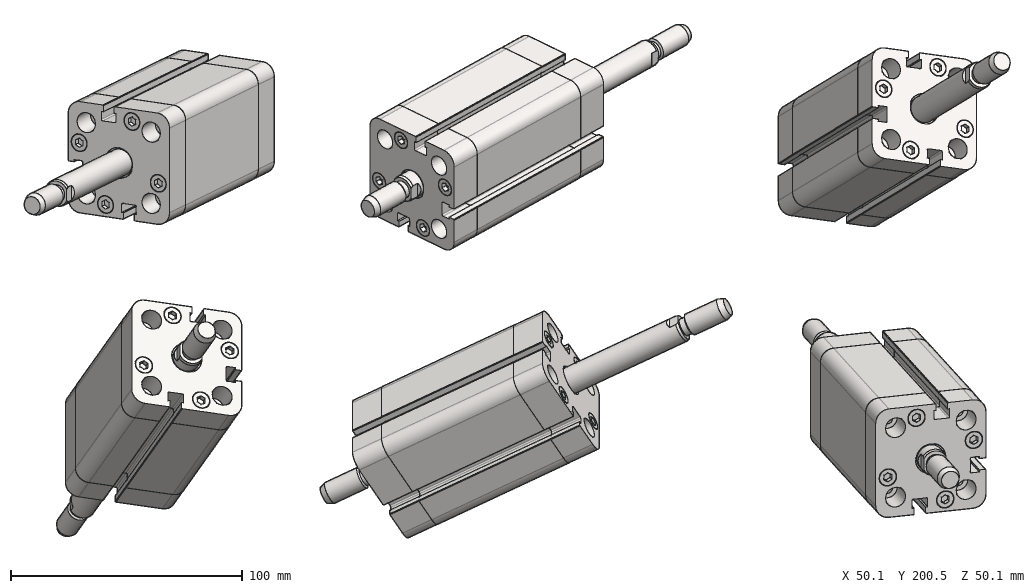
import cadquery as cq
import math


barrel_width = 50.1
cap_width = 50.0
corner_radius = 6.0
body_length = 94.5
cap_length = 14.5
barrel_length = body_length - 2 * cap_length
body_half = body_length / 2

slot_offset = 5.0
slot_neck_width = 5.2
slot_neck_depth = 3.0
slot_width = 7.1
slot_depth = 7.2
slot_mouth_chamfer = 0.3
slot_floor_radius = 0.6
barrel_slot_reduction = 0.1
slot_angles = (0, 90, 180)

mount_pitch = 32.0
mount_diameter = 4.92
mount_bore_diameter = 9.0
mount_bore_depth = 12.0

screw_long_offset = 19.5
screw_short_offset = 6.5
screw_pocket_diameter = 7.9
screw_head_diameter = 7.5
screw_pocket_depth = 4.0
socket_sides = 6
socket_flats = 3.6
socket_corners = socket_flats / math.cos(math.pi / socket_sides)
socket_depth = 2.5

rod_diameter = 12.0
rod_hole_diameter = 13.6
rod_hole_depth = 1.0
stroke = 50.0
rod_protrusion = 28.0
front_protrusion = rod_protrusion + stroke
shoulder_diameter = 11.2
shoulder_chamfer_length = 1.2

thread_diameter = 10.0
thread_length = 22.0
tip_diameter = 7.9
tip_chamfer_length = 2.8
groove_diameter = 8.0
groove_length = 2.6
groove_chamfer_length = 0.6

flats_width = 10.0
flats_length = 4.2
flats_depth = (rod_diameter - flats_width) / 2


def prism(width, start, length):
    """Square bar along Y with rounded corners, beginning at Y = start."""
    bar = cq.Workplane("XY").box(width, length, width).edges("|Y").fillet(corner_radius)
    return bar.translate((0, start + length / 2, 0))


def cylinder(diameter, x, z, start, length):
    """Round bar along Y, beginning at Y = start."""
    return cq.Workplane("XZ", origin=(x, start, z)).circle(diameter / 2).extrude(-length)


def t_slot(start, length, face, reduction):
    """T-slot along Y in a top face at Z = face; reduction shrinks the chamber walls and floor."""
    half_neck = slot_neck_width / 2
    half_chamber = slot_width / 2 - reduction
    half_mouth = half_neck + slot_mouth_chamfer
    half_floor = half_chamber - slot_floor_radius
    lip = face - slot_neck_depth
    floor = barrel_width / 2 - slot_depth + reduction
    wall_end = floor + slot_floor_radius
    return (
        cq.Workplane("XZ", origin=(-slot_offset, start, 0))
        .moveTo(-half_mouth, face)
        .lineTo(-half_neck, face - slot_mouth_chamfer)
        .lineTo(-half_neck, lip)
        .lineTo(-half_chamber, lip)
        .lineTo(-half_chamber, wall_end)
        .radiusArc((-half_floor, floor), -slot_floor_radius)
        .lineTo(half_floor, floor)
        .radiusArc((half_chamber, wall_end), -slot_floor_radius)
        .lineTo(half_chamber, lip)
        .lineTo(half_neck, lip)
        .lineTo(half_neck, face - slot_mouth_chamfer)
        .lineTo(half_mouth, face)
        .close()
        .extrude(-length)
    )


def slotted_section(width, start, length, slot_reduction):
    """One length of the body with its T-slots in the top, -X and bottom sides."""
    section = prism(width, start, length)
    slot = t_slot(start, length, width / 2, slot_reduction)
    for angle in slot_angles:
        section = section.cut(slot.rotate((0, 0, 0), (0, 1, 0), -angle))
    return section


def mount_positions():
    half_pitch = mount_pitch / 2
    return [(x, z) for x in (-half_pitch, half_pitch) for z in (-half_pitch, half_pitch)]


def body():
    """Barrel and end caps with the mounting holes right through them."""
    solid = slotted_section(barrel_width, -barrel_length / 2, barrel_length, barrel_slot_reduction)
    for cap_start in (-body_half, body_half - cap_length):
        solid = solid.union(slotted_section(cap_width, cap_start, cap_length, 0))
    for x, z in mount_positions():
        solid = solid.cut(cylinder(mount_diameter, x, z, -body_half, body_length))
    return solid


def cap_screw(x, z):
    """Material to remove around and inside one screw head at the front face."""
    pocket = cylinder(screw_pocket_diameter, x, z, -body_half, screw_pocket_depth)
    head = cylinder(screw_head_diameter, x, z, -body_half, screw_pocket_depth)
    socket = (
        cq.Workplane("XZ", origin=(x, -body_half, z))
        .transformed(rotate=(0, 0, 90))
        .polygon(socket_sides, socket_corners)
        .extrude(-socket_depth)
    )
    return pocket.cut(head).union(socket)


def front_face_cuts():
    """Counterbores, screw recesses and rod clearance of the front cap."""
    cuts = cylinder(rod_hole_diameter, 0, 0, -body_half, rod_hole_depth)
    for x, z in mount_positions():
        cuts = cuts.union(cylinder(mount_bore_diameter, x, z, -body_half, mount_bore_depth))
    for side in (-1, 1):
        cuts = cuts.union(cap_screw(side * screw_short_offset, side * screw_long_offset))
        cuts = cuts.union(cap_screw(side * screw_long_offset, -side * screw_short_offset))
    return cuts


def front_rod(protrusion):
    """Rod from the middle of the body out to its threaded end on the -Y side."""
    end = -body_half - protrusion
    shoulder = end + thread_length
    groove = shoulder - groove_length
    profile = [
        (0, 0),
        (rod_diameter / 2, 0),
        (rod_diameter / 2, shoulder + shoulder_chamfer_length),
        (shoulder_diameter / 2, shoulder),
        (groove_diameter / 2, shoulder),
        (groove_diameter / 2, groove),
        (thread_diameter / 2, groove - groove_chamfer_length),
        (thread_diameter / 2, end + tip_chamfer_length),
        (tip_diameter / 2, end),
        (0, end),
    ]
    rod = cq.Workplane("XY").polyline(profile).close().revolve(360, (0, 0, 0), (0, 1, 0))
    flat_end = shoulder + flats_length
    flat = (
        cq.Workplane("XY")
        .moveTo(flats_width / 2, shoulder)
        .lineTo(flats_width / 2, flat_end)
        .lineTo(flats_width / 2 + flats_depth, flat_end + flats_depth)
        .lineTo(flats_width / 2 + flats_depth, shoulder)
        .close()
        .extrude(rod_diameter / 2, both=True)
    )
    return rod.cut(flat).cut(flat.mirror("YZ"))


cuts = front_face_cuts()
result = body().cut(cuts).cut(cuts.mirror("XZ"))
result = result.union(front_rod(front_protrusion))
result = result.union(front_rod(rod_protrusion).mirror("XZ"))